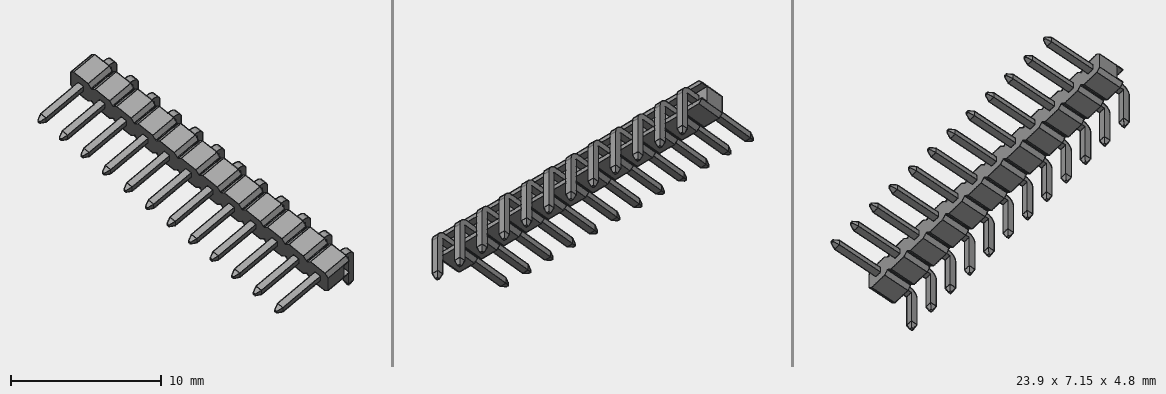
import cadquery as cq


pin_count = 12
strip_length = 23.9
strip_height = 2.0
strip_depth = 2.0
cell_width = 1.91
corner_chamfer = 0.29
flange_thickness = 0.35
channel_depth = 0.5

pin_size = 0.5
overall_depth = 7.15
overall_height = 4.8
rear_reach = 1.15
bend_radius = 0.72
taper_length = 0.43
tip_size = 0.2

pitch = (strip_length - cell_width) / (pin_count - 1)
notch_floor = pitch - cell_width
notch_depth = corner_chamfer
half_height = strip_height / 2
rear_y = strip_depth / 2
pin_rear_y = rear_y + rear_reach
tip_front_y = pin_rear_y - overall_depth
tip_bottom_z = half_height - overall_height
pin_xs = [(i - (pin_count - 1) / 2) * pitch for i in range(pin_count)]
notch_xs = [x + pitch / 2 for x in pin_xs[:-1]]


def make_notch(x, side):
    """Flat-bottomed V groove along Y; side is +1 for the top face, -1 for the bottom."""
    half_floor = notch_floor / 2
    half_mouth = half_floor + notch_depth
    face_z = side * half_height
    floor_z = side * (half_height - notch_depth)
    return (
        cq.Workplane("XZ", origin=(x, rear_y, 0))
        .polyline([(-half_mouth, face_z), (-half_floor, floor_z), (half_floor, floor_z), (half_mouth, face_z)])
        .close()
        .extrude(strip_depth)
    )


def make_flange_slit(x):
    """Narrow slit below the notches that separates the rear flanges of neighbouring positions."""
    return cq.Workplane("XY").box(notch_floor, channel_depth, strip_height).translate(
        (x, rear_y - channel_depth / 2, 0)
    )


def make_strip():
    strip = cq.Workplane("XY").box(strip_length, strip_depth, strip_height).edges("|Y").chamfer(corner_chamfer)
    channel_height = strip_height - 2 * flange_thickness
    channel = cq.Workplane("XY").box(strip_length, channel_depth, channel_height)
    strip = strip.cut(channel.translate((0, rear_y - channel_depth / 2, 0)))
    for x in notch_xs:
        strip = strip.cut(make_notch(x, 1)).cut(make_notch(x, -1)).cut(make_flange_slit(x))
    return strip


def make_taper(plane):
    """Four-sided tip growing along the normal of the given plane."""
    return (
        cq.Workplane(plane)
        .rect(pin_size, pin_size)
        .workplane(offset=taper_length)
        .rect(tip_size, tip_size)
        .loft(ruled=True)
    )


def make_pin():
    """L-shaped pin at X = 0: the horizontal leg points to -Y, the rear leg points to -Z."""
    half_pin = pin_size / 2
    leg_front_y = tip_front_y + taper_length
    leg_bottom_z = tip_bottom_z + taper_length
    inner_y = pin_rear_y - pin_size
    legs = (
        cq.Workplane("YZ")
        .moveTo(leg_front_y, half_pin)
        .lineTo(pin_rear_y - bend_radius, half_pin)
        .radiusArc((pin_rear_y, half_pin - bend_radius), bend_radius)
        .lineTo(pin_rear_y, leg_bottom_z)
        .lineTo(inner_y, leg_bottom_z)
        .lineTo(inner_y, -half_pin)
        .lineTo(leg_front_y, -half_pin)
        .close()
        .extrude(half_pin, both=True)
    )
    front_plane = cq.Plane(origin=(0, leg_front_y, 0), xDir=(1, 0, 0), normal=(0, -1, 0))
    bottom_plane = cq.Plane(origin=(0, pin_rear_y - half_pin, leg_bottom_z), xDir=(1, 0, 0), normal=(0, 0, -1))
    return legs.union(make_taper(front_plane)).union(make_taper(bottom_plane))


result = make_strip()
pin = make_pin()
for x in pin_xs:
    result = result.union(pin.translate((x, 0, 0)))